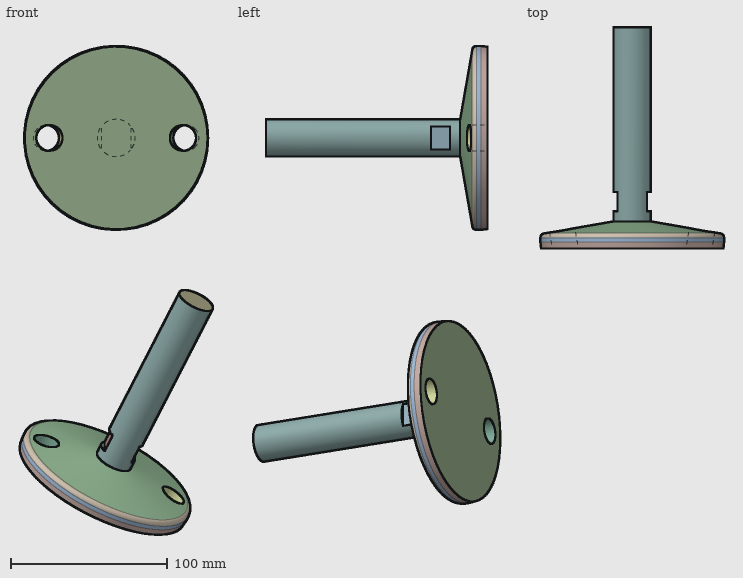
import cadquery as cq
import math

total_length = 142.0
foot_diameter = 118.0
stem_diameter = 24.0

base_diameter = 117.0
taper_height = 4.3
cone_top_height = 17.6
rim_height = 10.0
rim_round_radius = 3.0

hole_diameter = 16.5
hole_base_offset = 42.7
hole_tilt = 10.0

flats_width = 19.0
flats_start = 24.1
flats_length = 12.0

foot_radius = foot_diameter / 2
stem_radius = stem_diameter / 2


def make_body():
    """Revolve the foot and stem half-profile about the Y axis."""
    round_start = rim_height - rim_round_radius
    round_center = foot_radius - rim_round_radius
    round_middle = rim_round_radius * math.sqrt(0.5)

    return (
        cq.Workplane("XY")
        .lineTo(base_diameter / 2, 0)
        .lineTo(foot_radius, taper_height)
        .lineTo(foot_radius, round_start)
        .threePointArc(
            (round_center + round_middle, round_start + round_middle),
            (round_center, rim_height),
        )
        .lineTo(stem_radius, cone_top_height)
        .lineTo(stem_radius, total_length)
        .lineTo(0, total_length)
        .close()
        .revolve(360, (0, 0, 0), (0, 1, 0))
    )


def make_hole(side):
    """Tilted cutter through the foot on the given X side (-1 or 1)."""
    tilt = math.radians(hole_tilt)
    center = cq.Vector(side * hole_base_offset, 0, 0)
    direction = cq.Vector(side * math.sin(tilt), math.cos(tilt), 0)
    reach = cone_top_height
    return cq.Solid.makeCylinder(
        hole_diameter / 2, 2 * reach, center - direction * reach, direction
    )


def make_flat(side):
    """Cutter that leaves one wrench flat on the given X side (-1 or 1)."""
    return cq.Workplane("XY").box(stem_radius, flats_length, stem_diameter).translate(
        (side * (flats_width + stem_radius) / 2, flats_start + flats_length / 2, 0)
    )


result = make_body()
for side in (-1, 1):
    result = result.cut(make_hole(side))
    result = result.cut(make_flat(side))